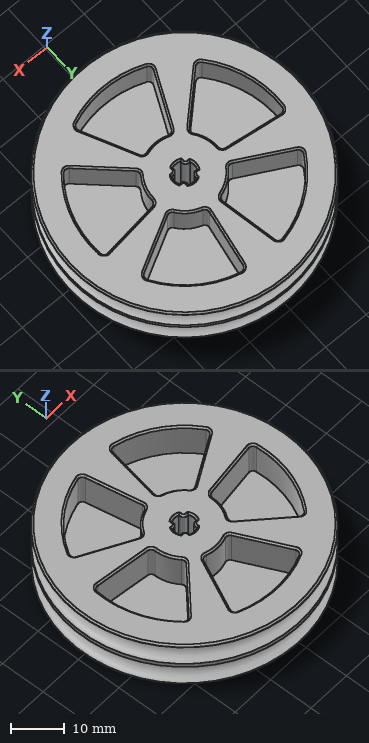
import cadquery as cq
import math

OUTER_RADIUS = 28.5
THICKNESS = 12.0
EDGE_CHAMFER = 0.4

GROOVE_RADIUS = 2.5
GROOVE_COUNT = 2
GROOVE_PITCH = THICKNESS / GROOVE_COUNT

POCKET_COUNT = 5
POCKET_DEPTH = 8.0
POCKET_INNER_RADIUS = 8.15
POCKET_OUTER_RADIUS = 22.5
POCKET_SPAN_ANGLE = 51.0
POCKET_CORNER_RADIUS = 1.0
FIRST_POCKET_ANGLE = -90.0

AXLE_DIAMETER = 4.9
AXLE_ARM_WIDTH = 2.0
AXLE_CORNER_RADIUS = 0.9

TOP_Z = THICKNESS / 2


def polar_point(radius, angle):
    """Point in the XY plane at a radius and an angle in degrees."""
    turn = math.radians(angle)
    return (radius * math.cos(turn), radius * math.sin(turn))


def make_wheel():
    """Plain disc centred on the origin, with its bottom rim edge chamfered."""
    disc = cq.Workplane("XY").circle(OUTER_RADIUS).extrude(TOP_Z, both=True)
    return disc.faces("<Z").edges().chamfer(EDGE_CHAMFER)


def make_groove(height):
    """Ring of circular section that cuts one belt groove at the given height."""
    section = cq.Workplane("XZ").center(OUTER_RADIUS, height).circle(GROOVE_RADIUS)
    return section.revolve(360, (-OUTER_RADIUS, 0), (-OUTER_RADIUS, 1))


def make_pocket(middle_angle):
    """Sector-shaped cutter with rounded corners, reaching down from the top face."""
    start_angle = middle_angle - POCKET_SPAN_ANGLE / 2
    end_angle = middle_angle + POCKET_SPAN_ANGLE / 2
    inner_start, inner_middle, inner_end = [
        polar_point(POCKET_INNER_RADIUS, angle) for angle in (start_angle, middle_angle, end_angle)
    ]
    outer_start, outer_middle, outer_end = [
        polar_point(POCKET_OUTER_RADIUS, angle) for angle in (start_angle, middle_angle, end_angle)
    ]
    pocket = (
        cq.Workplane("XY", origin=(0, 0, TOP_Z))
        .moveTo(*inner_start)
        .lineTo(*outer_start)
        .threePointArc(outer_middle, outer_end)
        .lineTo(*inner_end)
        .threePointArc(inner_middle, inner_start)
        .close()
        .extrude(-POCKET_DEPTH)
    )
    return pocket.edges("|Z").fillet(POCKET_CORNER_RADIUS)


def make_axle_hole():
    """Cross-shaped cutter through the whole wheel, with round arm ends and rounded inner corners."""
    arm_along_x = cq.Workplane("XY").rect(AXLE_DIAMETER, AXLE_ARM_WIDTH).extrude(TOP_Z, both=True)
    arm_along_y = cq.Workplane("XY").rect(AXLE_ARM_WIDTH, AXLE_DIAMETER).extrude(TOP_Z, both=True)
    inner_corners = cq.selectors.BoxSelector(
        (-AXLE_ARM_WIDTH, -AXLE_ARM_WIDTH, -THICKNESS),
        (AXLE_ARM_WIDTH, AXLE_ARM_WIDTH, THICKNESS),
    )
    cross = arm_along_x.union(arm_along_y).edges("|Z").edges(inner_corners).fillet(AXLE_CORNER_RADIUS)
    envelope = cq.Workplane("XY").circle(AXLE_DIAMETER / 2).extrude(TOP_Z, both=True)
    return cross.intersect(envelope)


def cut_openings(wheel):
    """Cut the axle hole and the pockets."""
    wheel = wheel.cut(make_axle_hole())
    for index in range(POCKET_COUNT):
        wheel = wheel.cut(make_pocket(FIRST_POCKET_ANGLE + index * 360 / POCKET_COUNT))
    return wheel


def cut_grooves(wheel):
    """Cut the belt grooves, spread evenly over the thickness."""
    lowest_height = -(GROOVE_COUNT - 1) / 2 * GROOVE_PITCH
    for index in range(GROOVE_COUNT):
        wheel = wheel.cut(make_groove(lowest_height + index * GROOVE_PITCH))
    return wheel


wheel = cut_openings(make_wheel())
wheel = wheel.faces(">Z").edges().chamfer(EDGE_CHAMFER)
result = cut_grooves(wheel)